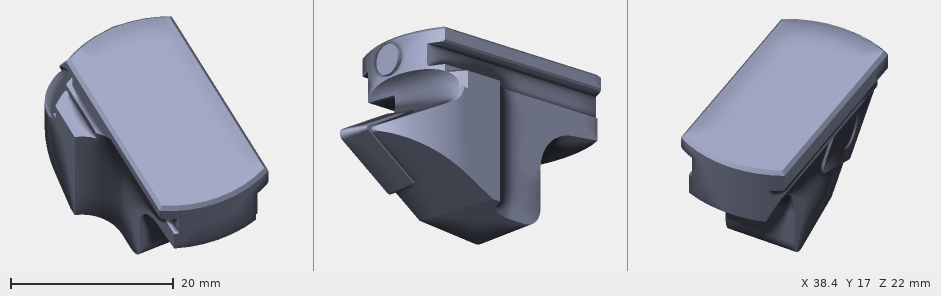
import cadquery as cq
import math

LENGTH = 38.4
HEAD_DIAMETER = 30.08
HEAD_RADIUS = HEAD_DIAMETER / 2
HEAD_X = LENGTH - HEAD_RADIUS
HEAD_Y = 10.03
TOP_Z = 22.0
TOP_CHAMFER = 0.45
FLANGE_FRONT_Y = 2.3
FLANGE_BACK_Y = 17.0
FLANGE_FRONT_Z = 19.9
FLANGE_BACK_Z = 19.1
FLANGE_EDGE_CHAMFER = 0.25
NECK_FRONT_Y = 4.4
NECK_BACK_Y = 15.05
SLOT_FLOOR_Z = 16.9
SLOT_CORNER = 0.2
LEDGE_Z = 15.82
NECK_BOTTOM_Z = 15.05
HEAD_ROUND_BOTTOM_Z = 13.52

STUD_DIAMETER = 4.0
STUD_Z = 19.0
STUD_PROUD = 0.45
STUD_ROOT = 1.15

WEB_FRONT_Y = 3.88
WEB_START_X = 22.75
BLOCK_END_X = 17.5
NOSE_ARC_RADIUS = 11.5
NOSE_ARC_END_X = 11.9
SHANK_RIGHT_X = 27.65
SHANK_CORNER_RADIUS = 2.6
UNDERCUT_RADIUS = 5.75
UNDERCUT_END_Z = 14.1
UNDERCUT_SLOPE = 6.0

CUT_ANGLE = 8.0
SEAT_Z = 7.3
HALF_NOSE_ANGLE = 27.5
SHANK_BACK = 9.5
WEDGE_APEX = 2.15
WEDGE_TIP_RADIUS = 0.5
GROOVE_RADIUS = 2.95
GROOVE_START = 9.9

INSERT_FACE = 9.87
INSERT_THICKNESS = 3.95
INSERT_TIP = 1.4
INSERT_INSCRIBED_RADIUS = 4.75
INSERT_CORNER_RADIUS = 0.8
INSERT_RELIEF = 7.0
RECESS_DIAMETER = 6.03
RECESS_DEPTH = 0.25

REACH = 46.1

HALF_ANGLE = math.radians(HALF_NOSE_ANGLE)
GROOVE_START_Z = SEAT_Z + (GROOVE_START - WEDGE_APEX) * math.tan(HALF_ANGLE)
INSERT_X = (
    INSERT_TIP
    + INSERT_CORNER_RADIUS
    + (INSERT_INSCRIBED_RADIUS - INSERT_CORNER_RADIUS) / math.sin(HALF_ANGLE)
)


def box(x_min, x_max, y_min, y_max, z_min, z_max):
    size = (x_max - x_min, y_max - y_min, z_max - z_min)
    return cq.Workplane().box(*size, centered=False).translate((x_min, y_min, z_min))


def turned(shape):
    """Turn a shape from the cutting frame into the part's axes."""
    return shape.rotate((0, 0, 0), (0, 0, 1), CUT_ANGLE)


def make_head():
    disc = (
        cq.Workplane(origin=(HEAD_X, HEAD_Y, HEAD_ROUND_BOTTOM_Z))
        .circle(HEAD_RADIUS)
        .extrude(TOP_Z - HEAD_ROUND_BOTTOM_Z)
    )
    flange = disc.intersect(box(0, REACH, FLANGE_FRONT_Y, FLANGE_BACK_Y, FLANGE_BACK_Z, TOP_Z))
    flange = flange.faces(">Z").edges().chamfer(TOP_CHAMFER)
    flange = flange.cut(box(0, REACH, 0, NECK_FRONT_Y, 0, FLANGE_FRONT_Z))
    for side in ("<Y", ">Y"):
        flange = flange.faces(side).edges("<Z").chamfer(FLANGE_EDGE_CHAMFER)
    neck = box(0, REACH, NECK_FRONT_Y, NECK_BACK_Y, NECK_BOTTOM_Z, FLANGE_FRONT_Z)
    slot_corner = (
        cq.Workplane("YZ")
        .polyline(
            [
                (NECK_FRONT_Y, SLOT_FLOOR_Z),
                (NECK_FRONT_Y - SLOT_CORNER, SLOT_FLOOR_Z),
                (NECK_FRONT_Y, SLOT_FLOOR_Z + SLOT_CORNER),
            ]
        )
        .close()
        .extrude(REACH)
    )
    return flange.union(disc.intersect(neck)).union(disc.intersect(slot_corner))


def make_stud():
    left_x = HEAD_X - HEAD_RADIUS - STUD_PROUD
    return (
        cq.Workplane("YZ", origin=(left_x, HEAD_Y, STUD_Z))
        .circle(STUD_DIAMETER / 2)
        .extrude(STUD_PROUD + STUD_ROOT)
    )


def shank_plan():
    """Plan of the shank: round nose at the left, front block, then a sweep back to the web."""
    sweep_rise = WEB_START_X - BLOCK_END_X
    sweep_radius = (sweep_rise**2 + WEB_FRONT_Y**2) / (2 * WEB_FRONT_Y)
    sweep_y = WEB_FRONT_Y - sweep_radius
    half_sweep = math.asin(sweep_rise / sweep_radius) / 2
    sweep_middle = (
        WEB_START_X - sweep_radius * math.sin(half_sweep),
        sweep_y + sweep_radius * math.cos(half_sweep),
    )
    nose_diagonal = NOSE_ARC_RADIUS * math.sqrt(0.5)
    return (
        cq.Workplane()
        .moveTo(NOSE_ARC_END_X, 0)
        .lineTo(BLOCK_END_X, 0)
        .threePointArc(sweep_middle, (WEB_START_X, WEB_FRONT_Y))
        .lineTo(REACH, WEB_FRONT_Y)
        .lineTo(REACH, NECK_BACK_Y)
        .lineTo(NOSE_ARC_END_X - NOSE_ARC_RADIUS, NECK_BACK_Y)
        .lineTo(NOSE_ARC_END_X - NOSE_ARC_RADIUS, NOSE_ARC_RADIUS)
        .threePointArc(
            (NOSE_ARC_END_X - nose_diagonal, NOSE_ARC_RADIUS - nose_diagonal),
            (NOSE_ARC_END_X, 0),
        )
        .close()
        .extrude(SLOT_FLOOR_Z)
    )


def make_undercut():
    """Space below the head's right end, beside the shank."""
    corner_z = UNDERCUT_END_Z - (LENGTH - SHANK_RIGHT_X) * math.tan(math.radians(UNDERCUT_SLOPE))
    reach_z = UNDERCUT_END_Z + (REACH - LENGTH) * math.tan(math.radians(UNDERCUT_SLOPE))
    space = (
        cq.Workplane("XZ")
        .polyline([(SHANK_RIGHT_X, 0), (REACH, 0), (REACH, reach_z), (SHANK_RIGHT_X, corner_z)])
        .close()
        .extrude(-REACH)
    )
    return space.edges("|Y").edges("<X").edges(">Z").fillet(UNDERCUT_RADIUS)


def make_wedge():
    """Space kept by the wedge-shaped nose and the shank, in the cutting frame."""
    bottom_z = SEAT_Z - (REACH - WEDGE_APEX) * math.tan(HALF_ANGLE)
    wedge = (
        cq.Workplane("XZ")
        .moveTo(WEDGE_APEX, SEAT_Z)
        .lineTo(REACH, bottom_z)
        .lineTo(REACH, TOP_Z)
        .lineTo(GROOVE_START, TOP_Z)
        .lineTo(GROOVE_START, GROOVE_START_Z)
        .close()
        .extrude(REACH, both=True)
    )
    return wedge.edges("|Y").edges("<X").fillet(WEDGE_TIP_RADIUS)


def make_groove():
    """Round groove between nose and head, tangent to the top of the wedge."""
    groove_x = GROOVE_START - GROOVE_RADIUS * math.sin(HALF_ANGLE)
    groove_z = GROOVE_START_Z + GROOVE_RADIUS * math.cos(HALF_ANGLE)
    return (
        cq.Workplane("XZ", origin=(groove_x, 0, groove_z))
        .circle(GROOVE_RADIUS)
        .extrude(REACH, both=True)
    )


def make_shank():
    shank = shank_plan()
    round_column = cq.Workplane(origin=(HEAD_X, HEAD_Y, 0)).circle(HEAD_RADIUS).extrude(SLOT_FLOOR_Z)
    upper = shank.intersect(round_column).cut(box(0, REACH, 0, FLANGE_FRONT_Y, LEDGE_Z, TOP_Z))
    lower = shank.intersect(box(-REACH, HEAD_X, 0, REACH, 0, HEAD_ROUND_BOTTOM_Z))
    shank = upper.union(lower).cut(make_undercut())
    shank = shank.edges("|Y").edges("<Z").edges(">X").fillet(SHANK_CORNER_RADIUS)
    shank = shank.cut(turned(box(-REACH, 2 * REACH, SHANK_BACK, REACH, -0.4, NECK_BOTTOM_Z)))
    return shank.intersect(turned(make_wedge()))


def make_insert_blank():
    """Full diamond with sides that lean in by the relief angle, in the cutting frame."""
    half_length = INSERT_INSCRIBED_RADIUS / math.sin(HALF_ANGLE)
    half_height = INSERT_INSCRIBED_RADIUS / math.cos(HALF_ANGLE)
    corners = [(-half_length, 0), (0, -half_height), (half_length, 0), (0, half_height)]
    face = cq.Sketch().polygon(corners + corners[:1]).vertices().fillet(INSERT_CORNER_RADIUS)
    return (
        cq.Workplane("XZ", origin=(INSERT_X, INSERT_FACE, SEAT_Z))
        .placeSketch(face)
        .extrude(INSERT_THICKNESS, taper=INSERT_RELIEF)
    )


def make_recess():
    """Shallow round recess in the middle of the insert's face."""
    return (
        cq.Workplane("XZ", origin=(INSERT_X, INSERT_FACE, SEAT_Z))
        .circle(RECESS_DIAMETER / 2)
        .extrude(RECESS_DEPTH)
    )


def make_holder(insert_blank):
    holder = make_head().union(make_shank()).cut(turned(make_groove()))
    holder = holder.union(make_stud())
    return holder.cut(turned(insert_blank))


insert_blank = make_insert_blank()
holder = make_holder(insert_blank)
insert = turned(insert_blank.cut(make_recess()))

result = cq.Compound.makeCompound([*holder.solids().vals(), *insert.solids().vals()])